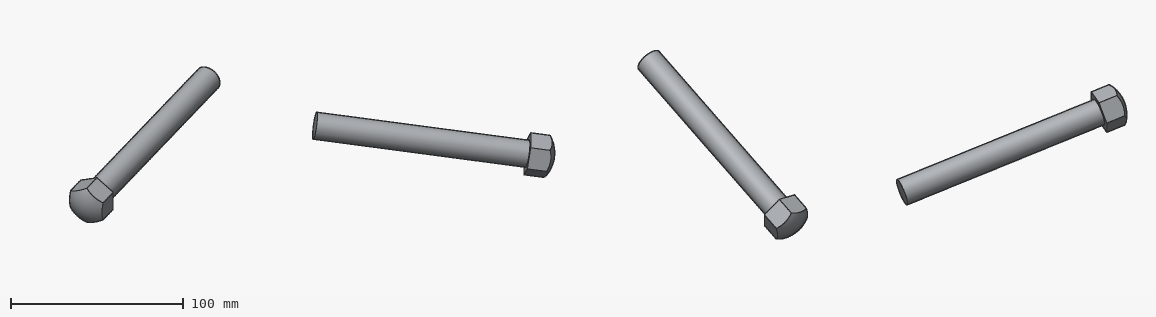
import cadquery as cq
import math

total_length = 141.0
head_height = 16.0
across_flats = 22.0
shank_diameter = 16.0
dome_radius = 20.0

shank_length = total_length - head_height
across_corners = across_flats / math.cos(math.pi / 6)


def make_shank():
    """Plain round shank running from the bearing face at Y = 0 toward +Y."""
    return cq.Workplane("XZ").circle(shank_diameter / 2).extrude(-shank_length)


def make_head():
    """Hexagonal prism with corners on the Z axis, its outer end cut by a sphere."""
    prism = (
        cq.Workplane("XZ")
        .transformed(rotate=(0, 0, 90))
        .polygon(6, across_corners)
        .extrude(head_height)
    )
    dome = cq.Workplane("XY").sphere(dome_radius).translate((0, dome_radius - head_height, 0))
    return prism.intersect(dome)


result = make_shank().union(make_head())